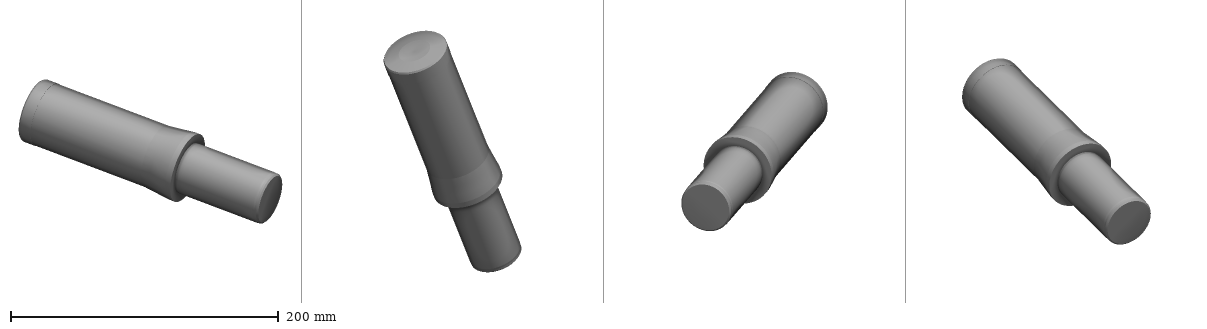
import cadquery as cq

head_length = 11.3
rim_radius = 12.3
dish_depth = 0.8
face_radius = 24.0
face_setback = 0.8
cutting_radius = 24.8
corner_length = 1.2

body_diameter = 49.0
flare_start = 105.2
flare_end = 127.0
collar_diameter = 54.0
collar_end = 131.5
shank_diameter = 40.0
relief_diameter = 39.5
relief_length = 0.8
step_length = 1.5
rear_land_length = 2.8
rear_chamfer = 1.2
total_length = 202.0


def revolve_about_x(profile):
    """Turn a closed (axial position, radius) outline about the X axis."""
    return cq.Workplane("XY").polyline(profile).close().revolve(360, (0, 0, 0), (1, 0, 0))


def make_cutting_head():
    return revolve_about_x([
        (dish_depth, 0),
        (0, rim_radius),
        (face_setback, face_radius),
        (face_setback + corner_length, cutting_radius),
        (head_length, cutting_radius),
        (head_length, 0),
    ])


def make_holder():
    body_radius = body_diameter / 2
    collar_radius = collar_diameter / 2
    shank_radius = shank_diameter / 2
    relief_radius = relief_diameter / 2
    front_step = collar_end + relief_length
    rear_step = total_length - rear_land_length
    return revolve_about_x([
        (head_length, 0),
        (head_length, body_radius),
        (flare_start, body_radius),
        (flare_end, collar_radius),
        (collar_end, collar_radius),
        (collar_end, relief_radius),
        (front_step, relief_radius),
        (front_step + step_length, shank_radius),
        (rear_step - step_length, shank_radius),
        (rear_step, relief_radius),
        (total_length - rear_chamfer, relief_radius),
        (total_length, relief_radius - rear_chamfer),
        (total_length, 0),
    ])


cutting_head = make_cutting_head()
holder = make_holder()

result = cq.Compound.makeCompound([cutting_head.val(), holder.val()])